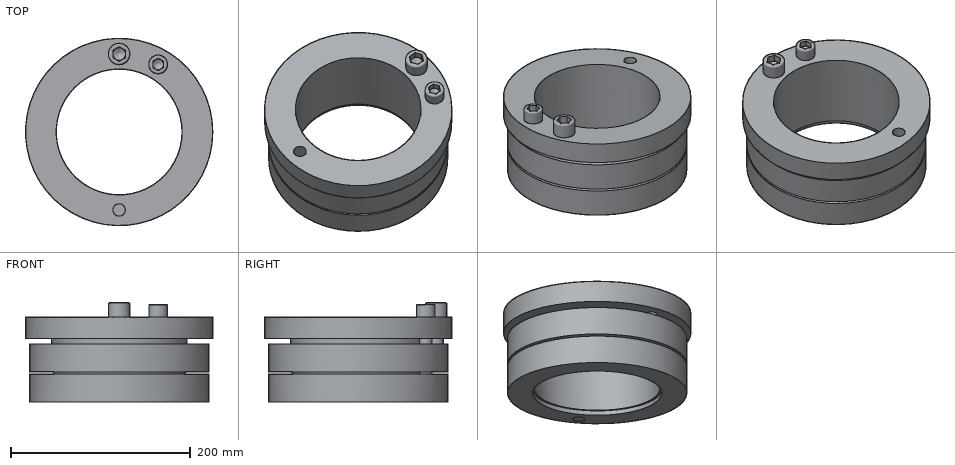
import cadquery as cq
import math

FLANGE_DIAMETER = 209.0
FLANGE_THICKNESS = 24.0
FLANGE_BOTTOM = 70.9
BORE_DIAMETER = 140.0
FLANGE_HOLE_DIAMETER = 13.8

RING_DIAMETER = 200.0
RING_THICKNESS = 31.4
MIDDLE_RING_BOTTOM = 33.9

HUB_BOTTOM = 5.2
HUB_TOP_RADIUS = 75.9
HUB_BOTTOM_RADIUS = 72.3

PITCH_RADIUS = 87.0
HEAD_ROUNDING = 0.1
SOCKET_CORNER_ANGLE = 30.0
SOCKET_CONE_ANGLE = 120.0

JACK_SHANK_DIAMETER = 16.0
JACK_HEAD_DIAMETER = 24.0
JACK_SOCKET_WIDTH = 14.0
JACK_ANGLE = 90.0

CLAMP_SHANK_DIAMETER = 14.0
CLAMP_HEAD_DIAMETER = 21.0
CLAMP_SOCKET_WIDTH = 12.0
CLAMP_ANGLE = 60.0

FLANGE_TOP = FLANGE_BOTTOM + FLANGE_THICKNESS
MIDDLE_RING_TOP = MIDDLE_RING_BOTTOM + RING_THICKNESS
HUB_TAPER = (HUB_TOP_RADIUS - HUB_BOTTOM_RADIUS) / (FLANGE_BOTTOM - HUB_BOTTOM)


def polar_point(angle):
    """Point on the screw pitch circle."""
    turn = math.radians(angle)
    return PITCH_RADIUS * math.cos(turn), PITCH_RADIUS * math.sin(turn)


def cylinder(diameter, bottom, top, center=(0, 0)):
    """Upright cylinder between two levels."""
    return (
        cq.Workplane("XY", origin=(*center, bottom))
        .circle(diameter / 2)
        .extrude(top - bottom)
    )


def hub_radius(level):
    """Outer radius of the tapered hub at a level."""
    return HUB_BOTTOM_RADIUS + HUB_TAPER * (level - HUB_BOTTOM)


def taper_plug(bottom, top):
    """Solid cone frustum that follows the hub taper."""
    return (
        cq.Workplane("XZ")
        .polyline([(0, bottom), (hub_radius(bottom), bottom), (hub_radius(top), top), (0, top)])
        .close()
        .revolve(360, (0, 0, 0), (0, 1, 0))
    )


def make_screw(angle, shank_diameter, head_diameter, socket_width, shank_bottom):
    """Hexagon socket screw whose head is as tall as its shank is thick."""
    center = polar_point(angle)
    head_height = shank_diameter
    head_top = FLANGE_TOP + head_height
    head = cylinder(head_diameter, FLANGE_TOP, head_top, center)
    head = head.faces(">Z").edges().fillet(HEAD_ROUNDING * shank_diameter)
    shank = cylinder(shank_diameter, shank_bottom, FLANGE_TOP, center)

    socket_floor = head_top - head_height / 2
    corner_diameter = socket_width / math.cos(math.radians(SOCKET_CORNER_ANGLE))
    socket = (
        cq.Workplane("XY", origin=(*center, socket_floor))
        .transformed(rotate=(0, 0, 90))
        .polygon(6, corner_diameter)
        .extrude(head_top - socket_floor)
    )
    cone_radius = socket_width / 2
    cone_depth = cone_radius / math.tan(math.radians(SOCKET_CONE_ANGLE / 2))
    drill_point = cq.Workplane(
        cq.Solid.makeCone(cone_radius, 0, cone_depth, cq.Vector(*center, socket_floor), cq.Vector(0, 0, -1))
    )
    return head.union(shank).cut(socket).cut(drill_point)


def make_flange():
    """Flange with a tapered hub, a through bore and the screw holes."""
    plate = cylinder(FLANGE_DIAMETER, FLANGE_BOTTOM, FLANGE_TOP)
    body = plate.union(taper_plug(HUB_BOTTOM, FLANGE_BOTTOM))
    body = body.cut(cylinder(BORE_DIAMETER, HUB_BOTTOM, FLANGE_TOP))
    holes = [
        (JACK_ANGLE, JACK_SHANK_DIAMETER),
        (CLAMP_ANGLE, CLAMP_SHANK_DIAMETER),
        (JACK_ANGLE + 180, FLANGE_HOLE_DIAMETER),
    ]
    for angle, diameter in holes:
        body = body.cut(cylinder(diameter, FLANGE_BOTTOM, FLANGE_TOP, polar_point(angle)))
    return body


def make_ring(bottom):
    """Clamping ring with a tapered bore and a hole for the clamp screw."""
    top = bottom + RING_THICKNESS
    ring = cylinder(RING_DIAMETER, bottom, top).cut(taper_plug(bottom, top))
    return ring.cut(cylinder(CLAMP_SHANK_DIAMETER, bottom, top, polar_point(CLAMP_ANGLE)))


flange = make_flange()
rings = [make_ring(bottom) for bottom in (0.0, MIDDLE_RING_BOTTOM)]

jack_screw = make_screw(
    JACK_ANGLE, JACK_SHANK_DIAMETER, JACK_HEAD_DIAMETER, JACK_SOCKET_WIDTH, MIDDLE_RING_TOP
)
clamp_screw = make_screw(
    CLAMP_ANGLE, CLAMP_SHANK_DIAMETER, CLAMP_HEAD_DIAMETER, CLAMP_SOCKET_WIDTH, 0.0
)

result = cq.Compound.makeCompound(
    [flange.val(), *[ring.val() for ring in rings], jack_screw.val(), clamp_screw.val()]
)